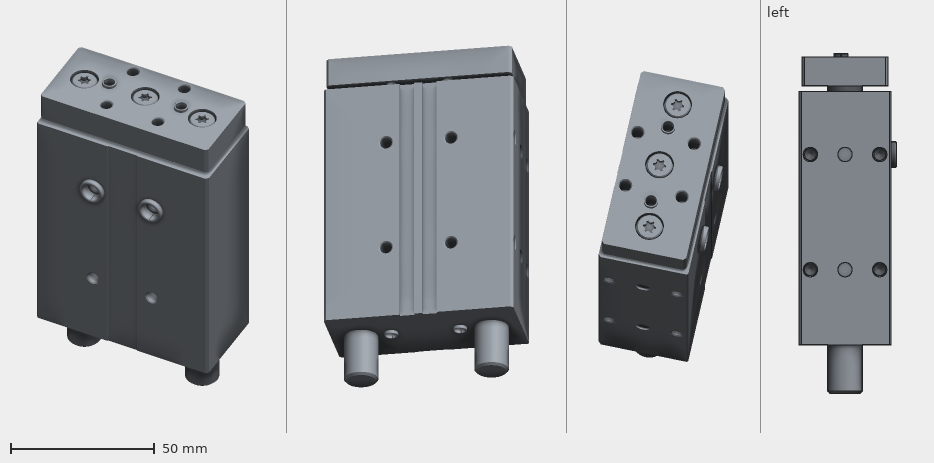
import cadquery as cq
import math


HOUSING_X = 67.0
HOUSING_Y = 32.0
HOUSING_Z = 88.1
EDGE_CHAMFER = 1.0
FRONT_LEFT_CHAMFER = 0.5
FRONT_GROOVE_WIDTH = 11.6
FRONT_GROOVE_DEPTH = 0.3
BACK_SLOT_WIDTH = 13.1
BACK_SLOT_DEPTH = 1.1
BACK_RIB_WIDTH = 2.8

PLATE_X = 65.4
PLATE_Y = 30.0
PLATE_Z = 10.0
PLATE_GAP = 1.9
PISTON_Y = 1.4
PISTON_ROD_DIA = 7.5

ROD_DIA = 12.0
ROD_X = 23.0
ROD_PROTRUSION = 16.9
ROD_CHAMFER = 0.8

THREAD_DIA = 4.1
THREAD_MOUTH_DIA = 5.0
MOUNT_X = 11.5
MOUNT_Z_LEVELS = (26.1, 66.1)
SIDE_HOLE_Y = 12.0
SIDE_HOLE_DEPTH = 10.0
SIDE_RECESS_DIA = 5.0
SIDE_RECESS_DEPTH = 0.7
PLATE_HOLE_PITCH = 20.1
POINT_ANGLE = 118

COUNTERBORE_DIA = 10.0
HEAD_DIA = 9.0
HEAD_CHAMFER = 0.5
HEAD_HEIGHT = 4.0
HEAD_SINK = 0.5
STAR_LOBES = 6
STAR_TIP_DIA = 4.6
STAR_FLUTE_DIA = 1.9
STAR_FLUTE_CENTRE_DIA = 5.1
STAR_DEPTH = 1.7

LARGE_SLEEVE_DIA = 9.0
LARGE_SLEEVE_BORE = 6.5
LARGE_SLEEVE_PROTRUSION = 1.9
SMALL_SLEEVE_DIA = 5.0
SMALL_SLEEVE_BORE = 3.9
SMALL_SLEEVE_PROTRUSION = 1.2
SLEEVE_SLIT = 0.2
TOP_SLEEVE_X = 14.0
BOTTOM_SLEEVE_X = 12.2
SLEEVE_HOLE_DEPTH = 8.0

FRONT_Y = -HOUSING_Y / 2
BACK_Y = HOUSING_Y / 2
LEFT_X = -HOUSING_X / 2
PLATE_BOTTOM_Z = HOUSING_Z + PLATE_GAP
PLATE_TOP_Z = PLATE_BOTTOM_Z + PLATE_Z
LOWER_Z, UPPER_Z = MOUNT_Z_LEVELS

UP = cq.Vector(0, 0, 1)
DOWN = cq.Vector(0, 0, -1)
RIGHT = cq.Vector(1, 0, 0)
BACK = cq.Vector(0, 1, 0)
FRONT = cq.Vector(0, -1, 0)
LEFT = cq.Vector(-1, 0, 0)


def cylinder(dia, length, start, direction):
    return cq.Workplane(cq.Solid.makeCylinder(dia / 2, length, start, direction))


def cone(start_dia, end_dia, length, start, direction):
    return cq.Workplane(cq.Solid.makeCone(start_dia / 2, end_dia / 2, length, start, direction))


def hole_mouth(start, direction):
    """45 degree countersink of a threaded hole."""
    depth = (THREAD_MOUTH_DIA - THREAD_DIA) / 2
    return cone(THREAD_MOUTH_DIA, THREAD_DIA, depth, start, direction)


def blind_hole(dia, depth, start, direction):
    """Drilled hole with a conical point."""
    point_depth = dia / 2 / math.tan(math.radians(POINT_ANGLE / 2))
    point = cone(dia, 0, point_depth, start + direction * depth, direction)
    return cylinder(dia, depth, start, direction).union(point)


def sleeve(dia, bore, protrusion, seat, outward, slit_side):
    """Slit ring with a fully rounded outer end, half of it standing proud of the face that holds it."""
    inner = bore / 2
    outer = dia / 2
    wall = outer - inner
    straight_end = protrusion - wall / 2
    profile_plane = cq.Plane(origin=seat, xDir=slit_side, normal=slit_side.cross(outward))
    ring = (
        cq.Workplane(profile_plane)
        .moveTo(inner, -protrusion)
        .lineTo(outer, -protrusion)
        .lineTo(outer, straight_end)
        .threePointArc((inner + wall / 2, protrusion), (inner, straight_end))
        .close()
        .revolve(360, (0, 0), (0, 1))
    )
    slit = cq.Workplane(profile_plane).center(outer, 0).rect(dia, 2 * protrusion)
    return ring.cut(slit.extrude(SLEEVE_SLIT / 2, both=True))


def large_sleeve_seats():
    return [cq.Vector(side * MOUNT_X, FRONT_Y, UPPER_Z) for side in (-1, 1)]


def top_sleeve_seats():
    return [cq.Vector(side * TOP_SLEEVE_X, PISTON_Y, PLATE_TOP_Z) for side in (-1, 1)]


def bottom_sleeve_seats():
    return [cq.Vector(side * BOTTOM_SLEEVE_X, PISTON_Y, 0) for side in (-1, 1)]


def small_sleeve_pocket(seat, inward):
    """Recess for a small sleeve with the blind hole behind it."""
    recess = cylinder(SMALL_SLEEVE_DIA, SMALL_SLEEVE_PROTRUSION, seat, inward)
    return recess.union(blind_hole(SMALL_SLEEVE_BORE, SLEEVE_HOLE_DEPTH, seat, inward))


def housing_block():
    block = cq.Workplane().box(HOUSING_X, HOUSING_Y, HOUSING_Z, centered=(True, True, False))
    block = block.edges("|Z").edges("<X and <Y").chamfer(FRONT_LEFT_CHAMFER)
    block = block.edges("|Z").edges(">X or >Y").chamfer(EDGE_CHAMFER)
    return block


def front_groove():
    """Shallow groove with 45 degree walls."""
    mouth = FRONT_GROOVE_WIDTH / 2
    floor = mouth - FRONT_GROOVE_DEPTH
    floor_y = FRONT_Y + FRONT_GROOVE_DEPTH
    outline = [(-mouth, FRONT_Y), (mouth, FRONT_Y), (floor, floor_y), (-floor, floor_y)]
    return cq.Workplane().polyline(outline).close().extrude(HOUSING_Z)


def back_slot():
    slot = cq.Workplane().rect(BACK_SLOT_WIDTH, 2 * BACK_SLOT_DEPTH)
    slot = slot.extrude(HOUSING_Z).translate((0, BACK_Y, 0))
    rib = cq.Workplane().rect(BACK_RIB_WIDTH, HOUSING_Y).extrude(HOUSING_Z)
    return slot.cut(rib)


def mounting_holes(body):
    """Through holes from front to back; the upper two also hold the large sleeves."""
    for side in (-1, 1):
        for level in MOUNT_Z_LEVELS:
            start = cq.Vector(side * MOUNT_X, FRONT_Y, level)
            body = body.cut(cylinder(THREAD_DIA, HOUSING_Y, start, BACK))
            body = body.cut(hole_mouth(start + BACK * HOUSING_Y, FRONT))
        body = body.cut(hole_mouth(cq.Vector(side * MOUNT_X, FRONT_Y, LOWER_Z), BACK))
    for seat in large_sleeve_seats():
        body = body.cut(cylinder(LARGE_SLEEVE_DIA, LARGE_SLEEVE_PROTRUSION, seat, BACK))
        body = body.cut(hole_mouth(seat + BACK * LARGE_SLEEVE_PROTRUSION, BACK))
    return body


def side_holes(body):
    """Threaded holes in the left face, either side of a shallow round recess, at each mounting level."""
    for level in MOUNT_Z_LEVELS:
        middle = cq.Vector(LEFT_X, 0, level)
        body = body.cut(cylinder(SIDE_RECESS_DIA, SIDE_RECESS_DEPTH, middle, RIGHT))
        for side in (-1, 1):
            start = middle + BACK * (side * SIDE_HOLE_Y)
            body = body.cut(blind_hole(THREAD_DIA, SIDE_HOLE_DEPTH, start, RIGHT))
            body = body.cut(hole_mouth(start, RIGHT))
    return body


def make_housing():
    body = housing_block().cut(front_groove()).cut(back_slot())
    body = side_holes(mounting_holes(body))
    for side in (-1, 1):
        body = body.cut(cylinder(ROD_DIA, HOUSING_Z, cq.Vector(side * ROD_X, 0, 0), UP))
    for seat in bottom_sleeve_seats():
        body = body.cut(small_sleeve_pocket(seat, UP))
    return body


def screw_head_cut(x, y):
    """Counterbore space around and above a screw head, with the star recess in the head."""
    head_top_z = PLATE_TOP_Z - HEAD_SINK
    base = cq.Vector(x, y, head_top_z - HEAD_HEIGHT)
    head_top = cq.Vector(x, y, head_top_z)
    space = cylinder(COUNTERBORE_DIA, HEAD_HEIGHT + HEAD_SINK, base, UP)
    head = cylinder(HEAD_DIA, HEAD_HEIGHT, base, UP).faces(">Z").chamfer(HEAD_CHAMFER)

    star = cylinder(STAR_TIP_DIA, STAR_DEPTH, head_top, DOWN)
    for lobe in range(STAR_LOBES):
        angle = math.radians(360 / STAR_LOBES * lobe)
        flute_x = STAR_FLUTE_CENTRE_DIA / 2 * math.cos(angle)
        flute_y = STAR_FLUTE_CENTRE_DIA / 2 * math.sin(angle)
        centre = head_top + cq.Vector(flute_x, flute_y, 0)
        star = star.cut(cylinder(STAR_FLUTE_DIA, STAR_DEPTH, centre, DOWN))
    return space.cut(head.cut(star))


def make_yoke():
    plate = cq.Workplane().box(PLATE_X, PLATE_Y, PLATE_Z, centered=(True, True, False))
    plate = plate.edges("|Z").chamfer(EDGE_CHAMFER).translate((0, 0, PLATE_BOTTOM_Z))
    for side_x in (-1, 1):
        for side_y in (-1, 1):
            x = side_x * PLATE_HOLE_PITCH / 2
            y = PISTON_Y + side_y * PLATE_HOLE_PITCH / 2
            top = cq.Vector(x, y, PLATE_TOP_Z)
            plate = plate.cut(cylinder(THREAD_DIA, PLATE_Z, top, DOWN))
            plate = plate.cut(hole_mouth(top, DOWN))
    for x, y in ((-ROD_X, 0), (0, PISTON_Y), (ROD_X, 0)):
        plate = plate.cut(screw_head_cut(x, y))
    for seat in top_sleeve_seats():
        plate = plate.cut(small_sleeve_pocket(seat, DOWN))
    piston_rod = cylinder(PISTON_ROD_DIA, PLATE_GAP, cq.Vector(0, PISTON_Y, HOUSING_Z), UP)
    return plate.union(piston_rod)


def make_guide_rod(side):
    """Rod through the housing, up to the underside of the plate."""
    start = cq.Vector(side * ROD_X, 0, -ROD_PROTRUSION)
    rod = cylinder(ROD_DIA, ROD_PROTRUSION + PLATE_BOTTOM_Z, start, UP)
    return rod.faces("<Z").chamfer(ROD_CHAMFER)


def make_large_sleeve(seat):
    return sleeve(LARGE_SLEEVE_DIA, LARGE_SLEEVE_BORE, LARGE_SLEEVE_PROTRUSION, seat, FRONT, DOWN)


def make_small_sleeve(seat, outward, slit_side):
    return sleeve(SMALL_SLEEVE_DIA, SMALL_SLEEVE_BORE, SMALL_SLEEVE_PROTRUSION, seat, outward, slit_side)


housing = make_housing()
yoke = make_yoke()
guide_rods = [make_guide_rod(side) for side in (-1, 1)]
large_sleeves = [make_large_sleeve(seat) for seat in large_sleeve_seats()]
top_sleeves = [make_small_sleeve(seat, UP, LEFT) for seat in top_sleeve_seats()]
bottom_sleeves = [make_small_sleeve(seat, DOWN, FRONT) for seat in bottom_sleeve_seats()]

bodies = [housing, yoke, *guide_rods, *large_sleeves, *top_sleeves, *bottom_sleeves]
result = cq.Compound.makeCompound([body.solids().val() for body in bodies])